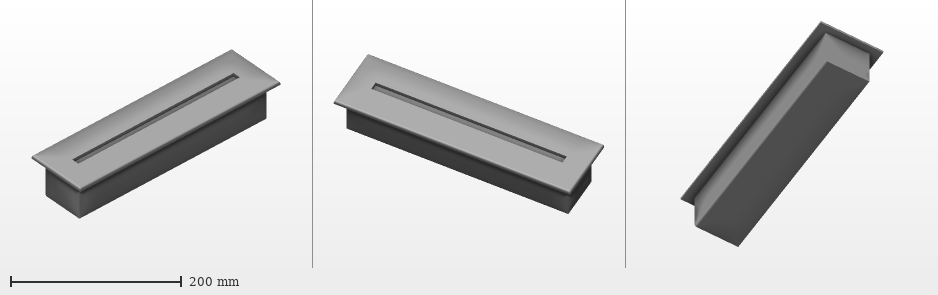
import cadquery as cq

plate_width = 86.0
plate_length = 313.0
plate_thickness = 5.0
plate_edge_radius = 2.5

total_height = 57.0
side_overhang = 13.0
end_overhang = 10.0
body_width = plate_width - 2 * side_overhang
body_length = plate_length - 2 * end_overhang
body_height = total_height - plate_thickness
body_edge_radius = 2.85

slot_width = 11.0
slot_end_margin = 30.0
slot_length = plate_length - 2 * slot_end_margin
slot_depth = 5.0


def make_body():
    """Box with its underside at Z = 0 and one rounded lower edge on the -X side."""
    body = cq.Workplane("XY").box(body_width, body_length, body_height, centered=(True, True, False))
    return body.edges("<X and <Z").fillet(body_edge_radius)


def make_plate():
    """Rectangular cover plate with its top rim rounded on all four sides."""
    plate = (
        cq.Workplane("XY")
        .workplane(offset=body_height)
        .box(plate_width, plate_length, plate_thickness, centered=(True, True, False))
    )
    return plate.faces(">Z").edges().fillet(plate_edge_radius)


def make_slot():
    """Cutter for the long blind slot along the middle of the plate."""
    return (
        cq.Workplane("XY")
        .workplane(offset=total_height - slot_depth)
        .box(slot_width, slot_length, slot_depth, centered=(True, True, False))
    )


result = make_body().union(make_plate()).cut(make_slot())